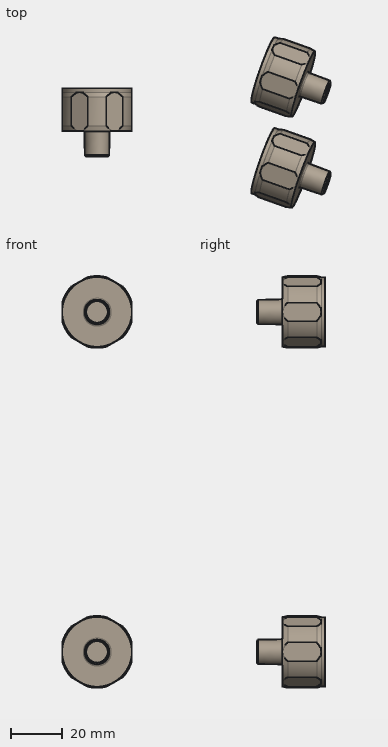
import cadquery as cq

overall_height = 159.5
grip_diameter = 27.9
foot_spacing = overall_height - grip_diameter

head_length = 16.6
rim_diameter = 27.0
rim_length = 1.6
rear_taper_length = 1.8
front_taper_length = 2.0
flat_count = 6

stem_root_diameter = 9.9
stem_tip_diameter = 9.5
stem_length = 9.9
stem_chamfer = 0.6
root_fillet_radius = 0.5

total_length = head_length + stem_length
head_front = total_length / 2 - head_length


def make_head():
    """Round head with tapered ends and flats around its grip, axis along Z from Z = 0."""
    rim_radius = rim_diameter / 2
    grip_radius = grip_diameter / 2
    head = (
        cq.Workplane("XZ")
        .polyline([
            (0, 0),
            (rim_radius, 0),
            (grip_radius, front_taper_length),
            (grip_radius, head_length - rim_length - rear_taper_length),
            (rim_radius, head_length - rim_length),
            (rim_radius, head_length),
            (0, head_length),
        ])
        .close()
        .revolve(360, (0, 0, 0), (0, 1, 0))
    )
    block_thickness = grip_diameter
    cutter = cq.Workplane("XY").box(
        block_thickness, grip_diameter, head_length, centered=(False, True, False)
    ).translate((rim_radius, 0, 0))
    for index in range(flat_count):
        head = head.cut(cutter.rotate((0, 0, 0), (0, 0, 1), index * 360 / flat_count))
    return head


def make_stem():
    """Drafted stem with a chamfered end, running from Z = 0 toward -Z."""
    return (
        cq.Workplane("XY")
        .circle(stem_root_diameter / 2)
        .workplane(offset=-stem_length)
        .circle(stem_tip_diameter / 2)
        .loft()
        .faces("<Z")
        .chamfer(stem_chamfer)
    )


def make_foot(height):
    """One foot as a single solid, with its axis along Y at the given Z."""
    foot = make_head().union(make_stem())
    front_face = foot.faces(cq.selectors.NearestToPointSelector((0, 0, 0)))
    foot = front_face.edges(cq.selectors.RadiusNthSelector(0)).fillet(root_fillet_radius)
    return foot.rotate((0, 0, 0), (1, 0, 0), -90).translate((0, head_front, height))


feet = [make_foot(side * foot_spacing / 2) for side in (-1, 1)]

result = cq.Compound.makeCompound([foot.val() for foot in feet])